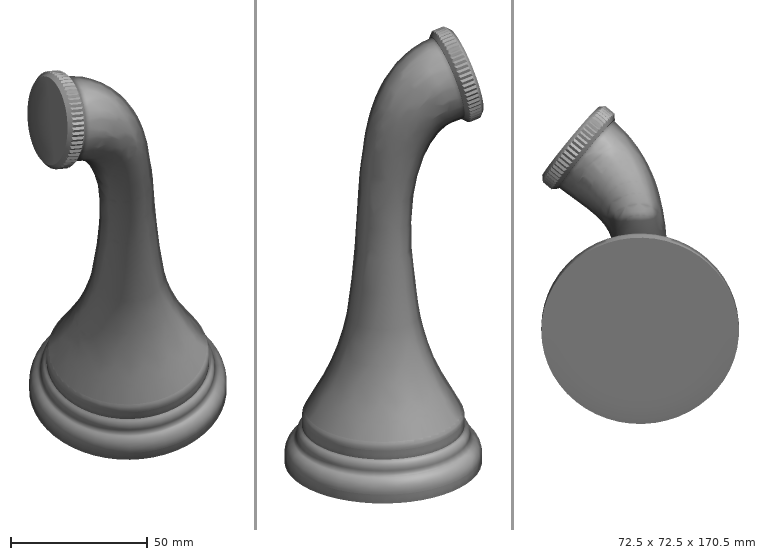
import cadquery as cq
import math

overall_height = 170.5

base_diameter = 72.5
base_radius = base_diameter / 2
base_band_top = 3.5
ogee_radius = 33.0
ogee_top = 9.2
step_radius = 31.9
step_bottom = 11.3
collar_radius = 29.8
collar_bottom = 14.8
collar_top = 18.4
neck_foot_radius = 28.8
neck_foot = 21.5

neck_sections = [
    (neck_foot, neck_foot_radius),
    (25.9, 26.5),
    (34.1, 22.0),
    (46.4, 16.9),
    (59.7, 13.5),
    (73.3, 11.8),
]

cap_tilt = 15.0
cap_radius = 18.2
cap_thickness = 7.5
cap_bevel = 1.9
cap_face_y = -31.9
flute_count = 60
flute_depth = 0.5
ridge_inset = 0.2
ridge_radius = cap_radius - ridge_inset
valley_radius = ridge_radius - flute_depth

bend_start = 87.0
bend_start_pull = 41.8
bend_end_pull = 16.2
bend_radii = [10.5, 10.2, 11.5, 13.3, 15.0, 15.9]

tilt = math.radians(cap_tilt)
cap_axis = cq.Vector(0, -math.cos(tilt), math.sin(tilt))
ridge_setback = cap_bevel - ridge_inset
cap_face_z = overall_height - ridge_radius * math.cos(tilt) + ridge_setback * math.sin(tilt)
cap_face = cq.Vector(0, cap_face_y, cap_face_z)
cap_back = cap_face - cap_axis * cap_thickness


def tangent_bow(start, end):
    """Middle point of the arc between two (radius, height) points that is vertical at start."""
    inset = start[0] - end[0]
    rise = end[1] - start[1]
    bow_radius = (inset**2 + rise**2) / (2 * inset)
    half_angle = math.atan2(rise, bow_radius - inset) / 2
    return (
        start[0] - bow_radius * (1 - math.cos(half_angle)),
        start[1] + bow_radius * math.sin(half_angle),
    )


def make_base():
    """Solid of revolution: rounded foot, concave step, rounded step and collar."""
    band_top = (base_radius, base_band_top)
    ogee_edge = (ogee_radius, ogee_top)
    step_edge = (step_radius, step_bottom)
    collar_foot = (collar_radius, collar_bottom)
    collar_edge = (collar_radius, collar_top)
    neck_edge = (neck_foot_radius, neck_foot)
    hollow = tangent_bow((-step_radius, -step_bottom), (-ogee_radius, -ogee_top))
    return (
        cq.Workplane("XZ")
        .lineTo(base_radius, 0)
        .lineTo(*band_top)
        .threePointArc(tangent_bow(band_top, ogee_edge), ogee_edge)
        .threePointArc((-hollow[0], -hollow[1]), step_edge)
        .threePointArc(tangent_bow(step_edge, collar_foot), collar_foot)
        .lineTo(*collar_edge)
        .threePointArc(tangent_bow(collar_edge, neck_edge), neck_edge)
        .lineTo(0, neck_foot)
        .close()
        .revolve(360, (0, 0), (0, 1))
    )


def bend_section(t):
    """Point and direction of the bend's centre line at parameter t (0 to 1)."""
    p0 = cq.Vector(0, 0, bend_start)
    p1 = cq.Vector(0, 0, bend_start + bend_start_pull)
    p2 = cap_back - cap_axis * bend_end_pull
    p3 = cap_back
    s = 1 - t
    point = p0 * s**3 + p1 * (3 * s**2 * t) + p2 * (3 * s * t**2) + p3 * t**3
    direction = (p1 - p0) * s**2 + (p2 - p1) * (2 * s * t) + (p3 - p2) * t**2
    return point, direction


def section_circle(radius, point, direction):
    """Circular wire square to the centre line, starting on the side facing -Y."""
    plane = cq.Plane(origin=point, xDir=(1, 0, 0), normal=direction)
    return cq.Workplane(plane.rotated((0, 0, -90))).circle(radius).wires().val()


def make_neck():
    """One smooth loft through the straight and the curved sections."""
    up = cq.Vector(0, 0, 1)
    circles = [section_circle(r, cq.Vector(0, 0, z), up) for z, r in neck_sections]
    for i, radius in enumerate(bend_radii):
        point, direction = bend_section(i / (len(bend_radii) - 1))
        circles.append(section_circle(radius, point, direction))
    return cq.Workplane(cq.Solid.makeLoft(circles))


def make_cap():
    """Disc with bevelled rims, its side cut by V flutes that run out onto the bevels."""
    plane = cq.Plane(origin=cap_back, xDir=(1, 0, 0), normal=cap_axis)
    disc = cq.Workplane(plane).circle(cap_radius).extrude(cap_thickness).edges().chamfer(cap_bevel)
    pitch = 2 * math.pi / flute_count
    outline = []
    for i in range(flute_count):
        for radius, angle in ((ridge_radius, i * pitch), (valley_radius, (i + 0.5) * pitch)):
            outline.append((radius * math.cos(angle), radius * math.sin(angle)))
    fluted_bar = cq.Workplane(plane).polyline(outline).close().extrude(cap_thickness)
    return disc.intersect(fluted_bar)


result = make_base().union(make_neck()).union(make_cap())